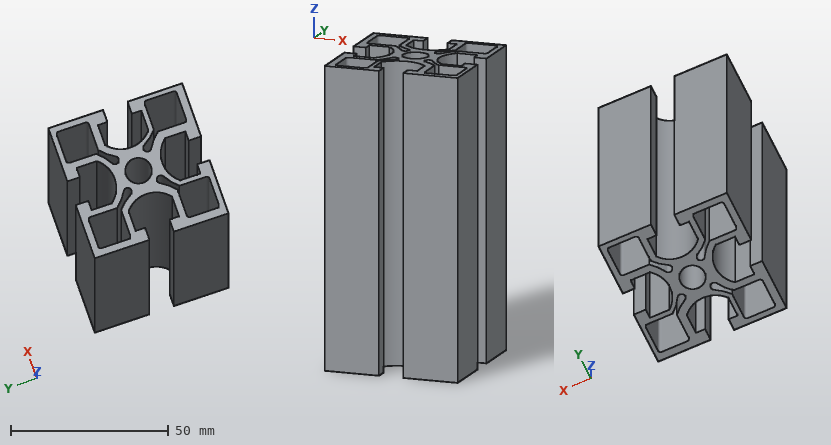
import cadquery as cq
import math

side = 45.0
length = 100.0
bore_diameter = 8.4

slot_opening = 8.2
lip_thickness = 4.2
cavity_width = 14.6
cavity_wall_end = 11.5
cavity_floor = 8.0

chamber_side = 10.8
chamber_fillet = 0.9
channel_end_radius = 1.3
channel_neck_width = 1.4
taper_length = 3.3
end_offset = 9.3

chambers = [
    ((15.0, 15.3), 45),
    ((-14.7, 14.8), 135),
    ((-14.3, -15.1), 225),
    ((15.5, -14.4), 315),
]


def prism(sketch):
    return sketch.close().extrude(length)


def t_slot():
    """T-slot open toward +Y, with an arched floor."""
    half_side = side / 2
    half_opening = slot_opening / 2
    half_cavity = cavity_width / 2
    lip_bottom = half_side - lip_thickness
    return prism(
        cq.Workplane("XY")
        .moveTo(-half_opening, half_side)
        .lineTo(-half_opening, lip_bottom)
        .lineTo(-half_cavity, lip_bottom)
        .lineTo(-half_cavity, cavity_wall_end)
        .threePointArc((0, cavity_floor), (half_cavity, cavity_wall_end))
        .lineTo(half_cavity, lip_bottom)
        .lineTo(half_opening, lip_bottom)
        .lineTo(half_opening, half_side)
    )


def chamber_cutter():
    """Chamber centred on the origin, with its channel along -X and its corner toward +X."""
    end_x = -end_offset * math.sqrt(2)
    neck_x = end_x + taper_length
    half_neck = channel_neck_width / 2
    square = (
        cq.Workplane("XY")
        .rect(chamber_side, chamber_side)
        .extrude(length)
        .edges("|Z")
        .fillet(chamber_fillet)
        .rotate((0, 0, 0), (0, 0, 1), 45)
    )
    channel = prism(
        cq.Workplane("XY")
        .moveTo(end_x, channel_end_radius)
        .lineTo(neck_x, half_neck)
        .lineTo(0, half_neck)
        .lineTo(0, -half_neck)
        .lineTo(neck_x, -half_neck)
        .lineTo(end_x, -channel_end_radius)
        .threePointArc((end_x - channel_end_radius, 0), (end_x, channel_end_radius))
    )
    return square.union(channel)


result = cq.Workplane("XY").rect(side, side).circle(bore_diameter / 2).extrude(length)

slot = t_slot()
for angle in (0, 90, 180, 270):
    result = result.cut(slot.rotate((0, 0, 0), (0, 0, 1), angle))

cutter = chamber_cutter()
for (center_x, center_y), outward_angle in chambers:
    turned = cutter.rotate((0, 0, 0), (0, 0, 1), outward_angle)
    result = result.cut(turned.translate((center_x, center_y, 0)))